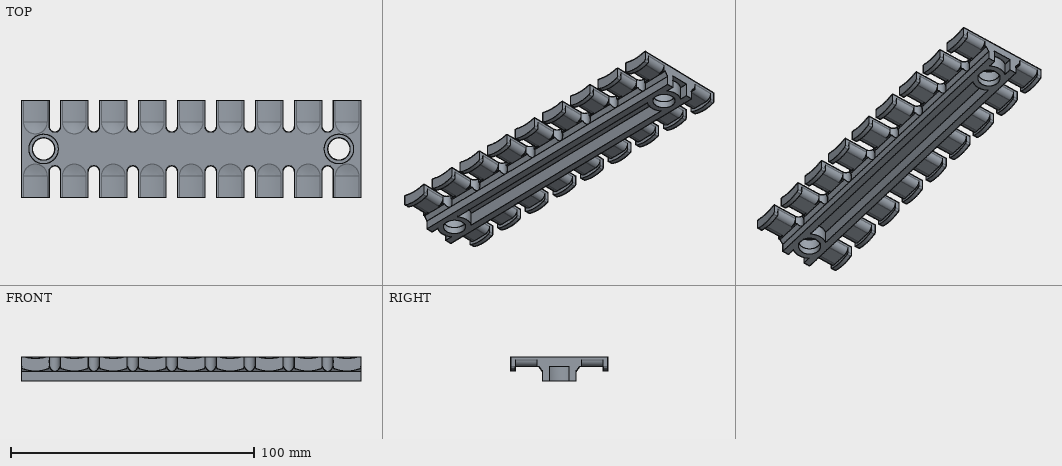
import cadquery as cq

LENGTH = 139.5
WIDTH = 40.0
HEIGHT = 10.0
PLATE_THICKNESS = 4.0

TOOTH_COUNT = 9
SLOT_WIDTH = 4.6
RAIL_WIDTH = 14.0
RAIL_CHAMFER_WIDTH = 1.4
RAIL_CHAMFER_HEIGHT = 2.0

LIP_DEPTH = 5.9
LIP_LENGTH = 2.0
LIP_EDGE_DEPTH = 4.7
LIP_CORNER_RADIUS = 1.0

NECK_INNER_Y = 9.0
NECK_EDGE_THICKNESS = 1.4

DISH_WIDTH = 9.8
DISH_DEPTH = 0.7
DISH_STRAIGHT = 8.9

HOLE_INSET = 9.0
HOLE_DIAMETER = 9.0
BORE_DIAMETER = 12.1
BORE_DEPTH = 7.0

CHANNEL_WIDTH = 8.0

half_length = LENGTH / 2
half_width = WIDTH / 2
half_rail = RAIL_WIDTH / 2
hole_x = half_length - HOLE_INSET
tooth_width = (LENGTH - (TOOTH_COUNT - 1) * SLOT_WIDTH) / TOOTH_COUNT
pitch = tooth_width + SLOT_WIDTH
half_tooth = tooth_width / 2
lip_inner_y = half_width - LIP_LENGTH
neck_radius = PLATE_THICKNESS - NECK_EDGE_THICKNESS
dish_radius = ((DISH_WIDTH / 2) ** 2 + DISH_DEPTH**2) / (2 * DISH_DEPTH)
tooth_centres = [(i - (TOOTH_COUNT - 1) / 2) * pitch for i in range(TOOTH_COUNT)]


def centre_rail():
    """Plate core and the chamfered rail under it, running the full length."""
    shoulder = half_rail + RAIL_CHAMFER_WIDTH
    chamfer_bottom = -PLATE_THICKNESS - RAIL_CHAMFER_HEIGHT
    half_profile = [
        (0, 0),
        (NECK_INNER_Y, 0),
        (NECK_INNER_Y, -PLATE_THICKNESS),
        (shoulder, -PLATE_THICKNESS),
        (half_rail, chamfer_bottom),
        (half_rail, -HEIGHT),
        (0, -HEIGHT),
    ]
    half = cq.Workplane("YZ").polyline(half_profile).close().extrude(half_length, both=True)
    return half.union(half.mirror("XZ"))


def neck():
    """Tooth web with rounded lower edges, centred at x = 0 on the +Y side."""
    web = cq.Workplane("XY").box(
        tooth_width, lip_inner_y - NECK_INNER_Y, PLATE_THICKNESS, centered=(True, False, False)
    )
    web = web.edges("|Y and <Z").fillet(neck_radius)
    return web.translate((0, NECK_INNER_Y, -PLATE_THICKNESS))


def lip():
    """Tooth tip with a bowed lower edge, centred at x = 0 on the +Y side."""
    tip = (
        cq.Workplane("XZ", origin=(0, half_width, 0))
        .moveTo(-half_tooth, 0)
        .lineTo(half_tooth, 0)
        .lineTo(half_tooth, -LIP_EDGE_DEPTH)
        .threePointArc((0, -LIP_DEPTH), (-half_tooth, -LIP_EDGE_DEPTH))
        .close()
        .extrude(LIP_LENGTH)
    )
    return tip.edges("|Y and (not >Z)").fillet(LIP_CORNER_RADIUS)


def dish():
    """Cutter for the shallow dish: a cylinder along Y ending in a sphere."""
    end_y = half_width - DISH_STRAIGHT
    axis_z = dish_radius - DISH_DEPTH
    trough = (
        cq.Workplane("XZ", origin=(0, end_y, axis_z))
        .circle(dish_radius)
        .extrude(-DISH_STRAIGHT)
    )
    return trough.union(cq.Workplane("XY").sphere(dish_radius).translate((0, end_y, axis_z)))


def slot():
    """Cutter for the round-ended slot between two teeth on the +Y side."""
    end_centre_y = half_rail + SLOT_WIDTH / 2
    round_end = (
        cq.Workplane("XY").circle(SLOT_WIDTH / 2).extrude(-HEIGHT).translate((0, end_centre_y, 0))
    )
    straight = cq.Workplane("XY").box(
        SLOT_WIDTH, half_width - end_centre_y, HEIGHT, centered=(True, False, False)
    )
    return round_end.union(straight.translate((0, end_centre_y, -HEIGHT)))


def both_sides(shape, x):
    """The shape moved to x, together with its copy on the -Y side."""
    moved = shape.translate((x, 0, 0))
    return moved, moved.mirror("XZ")


part = centre_rail()

for x in tooth_centres:
    for tooth in both_sides(neck().union(lip()), x):
        part = part.union(tooth)

for x in tooth_centres[:-1]:
    for cutter in both_sides(slot(), x + pitch / 2):
        part = part.cut(cutter)

for x in tooth_centres:
    for cutter in both_sides(dish(), x):
        part = part.cut(cutter)

hole_centres = [(-hole_x, 0), (hole_x, 0)]
channel = (
    cq.Workplane("XY", origin=(0, 0, -HEIGHT))
    .rect(LENGTH, CHANNEL_WIDTH)
    .extrude(HEIGHT - PLATE_THICKNESS)
)
bosses = (
    cq.Workplane("XY", origin=(0, 0, -HEIGHT))
    .pushPoints(hole_centres)
    .circle(half_rail)
    .extrude(HEIGHT - PLATE_THICKNESS)
)
part = part.cut(channel.cut(bosses))

holes = cq.Workplane("XY").pushPoints(hole_centres).circle(HOLE_DIAMETER / 2).extrude(-HEIGHT)
bores = cq.Workplane("XY").pushPoints(hole_centres).circle(BORE_DIAMETER / 2).extrude(-BORE_DEPTH)
part = part.cut(holes).cut(bores)

result = part